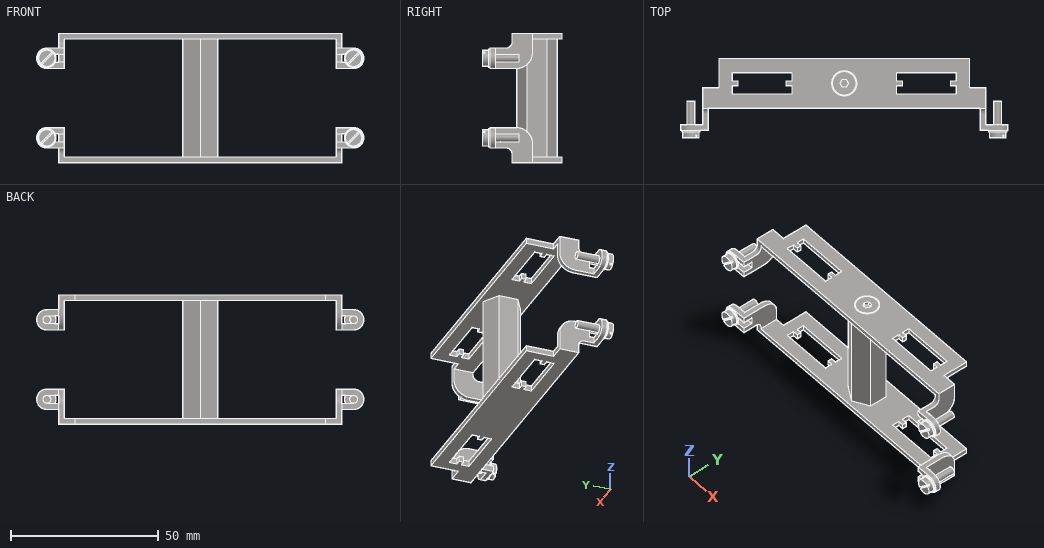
import cadquery as cq
import math


overall_length = 111
overall_depth = 27.0

sheet = 2.0
frame_height = 44.0
plate_length = 96.1
wide_length = 85.0
plate_depth = 17.0
leg_depth = 7.0
plate_top = frame_height / 2
plate_bottom = plate_top - sheet
plate_front = -plate_depth / 2
step_y = plate_front + leg_depth

window_length = 20.2
window_width = 7.1
window_offset = 27.9
tongue_length = 2.0
tongue_width = 1.7

shank_diameter = 2.7
shank_length = 10.4
washer_diameter = 6.2
washer_thickness = 0.5
head_diameter = 5.5
head_height = 2.0
drive_width = 0.5
drive_depth = 0.9
drive_angle = 45

leg_height = 12.0
leg_outer_radius = 5.5
leg_inner_radius = 2.0
flange_height = 7.0
leg_bottom = plate_top - leg_height
flange_top = leg_bottom + flange_height
flange_z = leg_bottom + flange_height / 2
flange_front = plate_depth / 2 - overall_depth + head_height + washer_thickness
leg_outside = plate_length / 2
leg_inside = leg_outside - sheet
screw_x = overall_length / 2 - flange_height / 2
slot_width = shank_diameter
slot_depth = 3.5

post_corner_diameter = 13.8

countersunk_head_diameter = 8.0
countersunk_shank_diameter = 4.0
countersunk_shank_length = 8.0
countersink_diameter = 8.5
socket_width = 2.5
socket_depth = 1.3


def make_plate():
    """Stepped upper plate with two windows, each with a tongue at both ends."""
    wide = (
        cq.Workplane("XY", origin=(0, 0, plate_bottom))
        .rect(wide_length, plate_depth)
        .extrude(sheet)
    )
    narrow = (
        cq.Workplane("XY", origin=(0, plate_front + leg_depth / 2, plate_bottom))
        .rect(plate_length, leg_depth)
        .extrude(sheet)
    )
    plate = wide.union(narrow)
    for side in (-1, 1):
        plate = plate.cut(make_window().translate((side * window_offset, 0, 0)))
    return plate


def make_window():
    """Cutter for one window, centred on X = 0, leaving its two tongues standing."""
    window = (
        cq.Workplane("XY", origin=(0, 0, plate_bottom))
        .rect(window_length, window_width)
        .extrude(sheet)
    )
    tongues = (
        cq.Workplane("XY", origin=(0, 0, plate_bottom))
        .pushPoints([(side * (window_length - tongue_length) / 2, 0) for side in (-1, 1)])
        .rect(tongue_length, tongue_width)
        .extrude(sheet)
    )
    return window.cut(tongues)


def make_leg():
    """Right-hand leg: an L in the YZ plane, rounded at its rear bottom and inner corners."""
    return (
        cq.Workplane("YZ", origin=(leg_inside, 0, 0))
        .moveTo(step_y, plate_top)
        .lineTo(plate_front, plate_top)
        .lineTo(plate_front, flange_top + leg_inner_radius)
        .radiusArc((plate_front - leg_inner_radius, flange_top), leg_inner_radius)
        .lineTo(flange_front, flange_top)
        .lineTo(flange_front, leg_bottom)
        .lineTo(step_y - leg_outer_radius, leg_bottom)
        .radiusArc((step_y, leg_bottom + leg_outer_radius), -leg_outer_radius)
        .close()
        .extrude(sheet)
    )


def make_flange_bar(height, depth):
    """Bar from the inside of the right-hand leg to the screw, rounded about the screw axis."""
    rear = flange_front + depth
    straight = (
        cq.Workplane("XZ", origin=((leg_inside + screw_x) / 2, rear, flange_z))
        .rect(screw_x - leg_inside, height)
        .extrude(depth)
    )
    round_end = cq.Workplane("XZ", origin=(screw_x, rear, flange_z)).circle(height / 2).extrude(depth)
    return straight.union(round_end)


def make_slotted_screw():
    """Screw with washer along Y; the washer lies on the plane Y = 0 and the head points to -Y."""
    washer = cq.Workplane("XZ").circle(washer_diameter / 2).extrude(washer_thickness)
    head = (
        cq.Workplane("XZ", origin=(0, -washer_thickness, 0))
        .circle(head_diameter / 2)
        .extrude(head_height)
    )
    shank = (
        cq.Workplane("XZ", origin=(0, -washer_thickness, 0))
        .circle(shank_diameter / 2)
        .extrude(-shank_length)
    )
    drive = (
        cq.Workplane("XZ", origin=(0, -washer_thickness - head_height, 0))
        .transformed(rotate=(0, 0, drive_angle))
        .rect(head_diameter, drive_width)
        .extrude(-drive_depth)
    )
    return washer.union(head).union(shank).cut(drive)


def make_bracket():
    """Upper bracket: the plate with a leg and a flange at both ends."""
    flange = make_flange_bar(flange_height, sheet)
    slot = make_flange_bar(slot_width, slot_depth)
    arm = make_leg().union(flange).cut(slot)
    return make_plate().union(arm).union(arm.mirror("YZ"))


def make_post():
    """Hexagonal post between the plates, with two corners on the Y axis."""
    return (
        cq.Workplane("XY", origin=(0, 0, -plate_bottom))
        .transformed(rotate=(0, 0, 90))
        .polygon(6, post_corner_diameter)
        .extrude(2 * plate_bottom)
    )


def make_cone(top_diameter, bottom_diameter):
    """Cone frustum on the Z axis through the thickness of the upper plate."""
    top_radius = top_diameter / 2
    bottom_radius = bottom_diameter / 2
    return cq.Workplane(
        cq.Solid.makeCone(bottom_radius, top_radius, sheet, pnt=cq.Vector(0, 0, plate_bottom))
    )


def make_countersunk_shank():
    """Shank of the countersunk screw; it also cuts the matching hole in the post."""
    return (
        cq.Workplane("XY", origin=(0, 0, plate_bottom))
        .circle(countersunk_shank_diameter / 2)
        .extrude(-countersunk_shank_length)
    )


def make_countersunk_screw():
    """Countersunk screw with a hexagon socket, its head flush with the upper plate."""
    head = make_cone(countersunk_head_diameter, countersunk_shank_diameter)
    socket = (
        cq.Workplane("XY", origin=(0, 0, plate_top))
        .polygon(6, socket_width / math.cos(math.pi / 6))
        .extrude(-socket_depth)
    )
    return head.union(make_countersunk_shank()).cut(socket)


def make_frame():
    """Both brackets, the post and the four slotted screws in one piece."""
    bracket = make_bracket()
    frame = make_post().union(bracket).union(bracket.mirror("XY"))
    screw = make_slotted_screw()
    for side in (-1, 1):
        for level in (-1, 1):
            frame = frame.union(screw.translate((side * screw_x, flange_front, level * flange_z)))
    clearance = countersink_diameter - countersunk_head_diameter
    countersink = make_cone(countersink_diameter, countersunk_shank_diameter + clearance)
    return frame.cut(countersink).cut(make_countersunk_shank())


frame = make_frame()
countersunk_screw = make_countersunk_screw()

result = cq.Compound.makeCompound([frame.val(), countersunk_screw.val()])